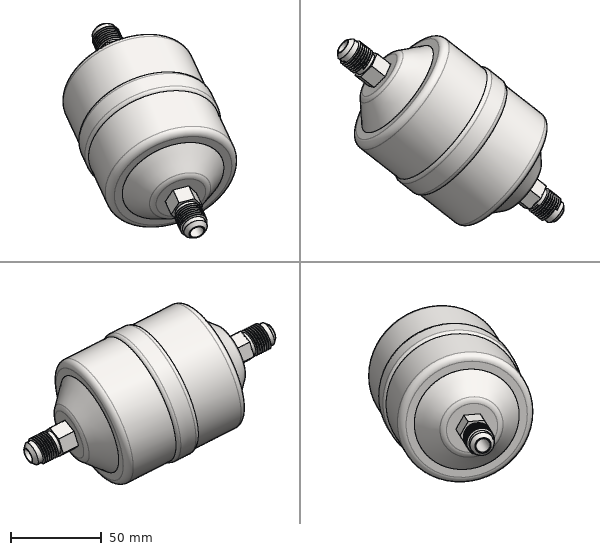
import cadquery as cq
import math

total_length = 159.0
half_length = total_length / 2

shell_radius = 76.5 / 2
shell_half_length = 39.3
shoulder_radius = 4.0
end_cap_half_length = 52.5
end_cap_face_radius = 14.5
end_cap_edge_radius = 4.8
end_cone_angle = math.radians(45)

band_radius = 79.0 / 2
band_flat_half_width = 5.0
band_half_width = 7.3

bore_diameter = 8.0
nose_diameter = 9.2
nose_length = 2.2
neck_diameter = 13.7
hex_across_flats = 15.9
hex_length = 10.0
hex_end = end_cap_half_length + hex_length

thread_diameter = 15.9
thread_pitch = 1.5
thread_start = 64.5
thread_turns = 6.9
thread_root_width = 1.21
thread_crest_width = 0.19
thread_overlap = 0.2


def make_half_shell():
    """Revolve the outline of the +X half of the shell."""
    band_drop = band_radius - shell_radius
    band_side = band_half_width - band_flat_half_width
    band_round = (band_side**2 + band_drop**2) / (2 * band_drop)
    band_mid_angle = math.asin(band_side / band_round) / 2
    band_mid = (
        band_flat_half_width + band_round * math.sin(band_mid_angle),
        band_radius - band_round * (1 - math.cos(band_mid_angle)),
    )

    def end_cap_round(angle):
        """Point on the end cap edge round, with the angle measured from the X axis."""
        return (
            end_cap_half_length - end_cap_edge_radius * (1 - math.cos(angle)),
            end_cap_face_radius + end_cap_edge_radius * math.sin(angle),
        )

    cone_x, cone_radius = end_cap_round(end_cone_angle)
    cone_base_radius = cone_radius + (cone_x - shell_half_length) / math.tan(end_cone_angle)
    shoulder_mid_offset = shoulder_radius * (1 - math.sqrt(0.5))

    outline = (
        cq.Workplane("XY")
        .moveTo(0, 0)
        .lineTo(0, band_radius)
        .lineTo(band_flat_half_width, band_radius)
        .threePointArc(band_mid, (band_half_width, shell_radius))
        .lineTo(shell_half_length - shoulder_radius, shell_radius)
        .threePointArc(
            (shell_half_length - shoulder_mid_offset, shell_radius - shoulder_mid_offset),
            (shell_half_length, shell_radius - shoulder_radius),
        )
        .lineTo(shell_half_length, cone_base_radius)
        .lineTo(cone_x, cone_radius)
        .threePointArc(end_cap_round(end_cone_angle / 2), (end_cap_half_length, end_cap_face_radius))
        .lineTo(end_cap_half_length, 0)
        .close()
    )
    return outline.revolve(360, (0, 0, 0), (1, 0, 0))


def make_hex():
    """Wrench hexagon with flats facing up and down and corners along Y."""
    across_corners = hex_across_flats / math.cos(math.pi / 6)
    return cq.Workplane("YZ").workplane(offset=end_cap_half_length).polygon(6, across_corners).extrude(hex_length)


def make_neck():
    """Round neck with a conical flare nose."""
    neck_radius = neck_diameter / 2
    return (
        cq.Workplane("XY")
        .moveTo(hex_end, 0)
        .lineTo(hex_end, neck_radius)
        .lineTo(half_length - nose_length, neck_radius)
        .lineTo(half_length, nose_diameter / 2)
        .lineTo(half_length, 0)
        .close()
        .revolve(360, (0, 0, 0), (1, 0, 0))
    )


def make_thread():
    """Right-handed helical ridge, made along Z and then turned onto the X axis."""
    root_radius = neck_diameter / 2 - thread_overlap
    crest_radius = thread_diameter / 2
    path = cq.Wire.makeHelix(thread_pitch, thread_pitch * thread_turns, root_radius)
    ridge = (
        cq.Workplane("XZ")
        .moveTo(root_radius, -thread_root_width / 2)
        .lineTo(crest_radius, -thread_crest_width / 2)
        .lineTo(crest_radius, thread_crest_width / 2)
        .lineTo(root_radius, thread_root_width / 2)
        .close()
        .sweep(cq.Workplane(path), isFrenet=True)
    )
    return ridge.rotate((0, 0, 0), (0, 1, 0), 90).translate((thread_start, 0, 0))


half = make_half_shell().union(make_hex()).union(make_neck()).union(make_thread())
other_half = half.rotate((0, 0, 0), (0, 0, 1), 180)
bore = cq.Workplane("YZ").circle(bore_diameter / 2).extrude(half_length, both=True)

result = half.union(other_half).cut(bore)